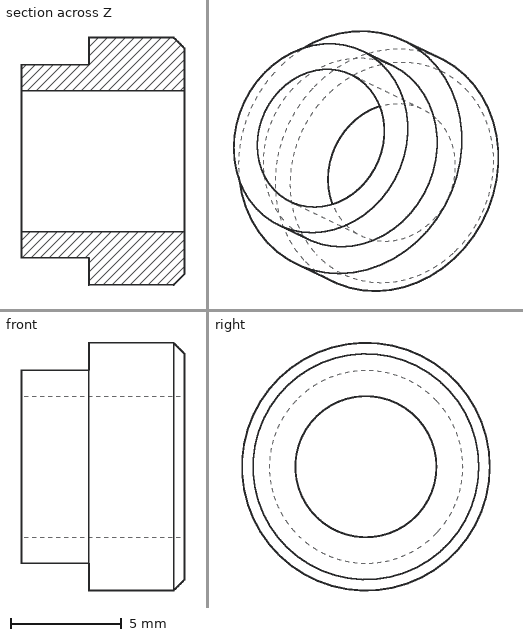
import cadquery as cq

total_length = 7.37
collar_length = 4.32
collar_diameter = 11.18
neck_diameter = 8.71
bore_diameter = 6.35
chamfer_size = 0.5

neck_length = total_length - collar_length

neck = cq.Workplane("YZ").circle(neck_diameter / 2).extrude(neck_length)

collar = (
    cq.Workplane("YZ", origin=(neck_length, 0, 0))
    .circle(collar_diameter / 2)
    .extrude(collar_length)
    .faces(">X")
    .edges()
    .chamfer(chamfer_size)
)

bore = cq.Workplane("YZ").circle(bore_diameter / 2).extrude(total_length)

result = neck.union(collar).cut(bore)